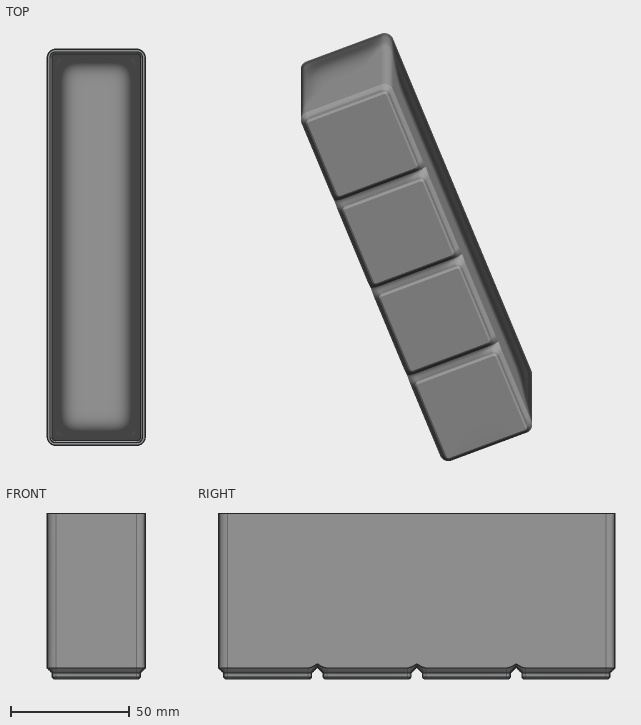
import cadquery as cq

PITCH = 42.0
UNITS_Y = 4
CLEARANCE = 0.25
HEIGHT = 70.0
CELL_RADIUS = 4.0

LENGTH_X = PITCH - 2 * CLEARANCE
LENGTH_Y = UNITS_Y * PITCH - 2 * CLEARANCE
CORNER_RADIUS = CELL_RADIUS - CLEARANCE

WALL = 2.0
CAVITY_RADIUS = 1.6
FLOOR_Z = 7.0
RIM_CHAMFER = 0.8

FOOT_STEP = 0.8
FOOT_BAND = 1.8
FOOT_FLARE = 2.4


def rounded_prism(size_x, size_y, radius, bottom, top):
    """Upright rounded block centred on the Z axis, between two heights."""
    block = cq.Workplane("XY").workplane(offset=bottom).rect(size_x, size_y)
    return block.extrude(top - bottom).edges("|Z").fillet(radius)


def flared_block(inset, bottom, rise):
    """Cell-shaped block that starts inset from the cell and widens at 45 degrees."""
    side = PITCH - 2 * inset
    outline = cq.Sketch().rect(side, side).vertices().fillet(CELL_RADIUS - inset)
    base = cq.Workplane("XY").workplane(offset=bottom).placeSketch(outline)
    return base.extrude(rise, taper=-45)


def make_foot():
    """One cell foot, its flare carried on far enough to shape the corner notches."""
    band_inset = FOOT_FLARE
    band_top = FOOT_STEP + FOOT_BAND
    band_side = PITCH - 2 * band_inset
    step = flared_block(band_inset + FOOT_STEP, 0, FOOT_STEP)
    band = rounded_prism(band_side, band_side, CELL_RADIUS - band_inset, FOOT_STEP, band_top)
    flare = flared_block(band_inset, band_top, FLOOR_Z - band_top)
    return step.union(band).union(flare)


def make_lower_body():
    """Row of feet joined at the flares and trimmed to the bin outline."""
    foot = make_foot()
    first_y = -(UNITS_Y - 1) * PITCH / 2
    row = foot.translate((0, first_y, 0))
    for index in range(1, UNITS_Y):
        row = row.union(foot.translate((0, first_y + index * PITCH, 0)))
    return row.intersect(rounded_prism(LENGTH_X, LENGTH_Y, CORNER_RADIUS, 0, FLOOR_Z))


def make_walls():
    """Open frame standing on the floor, chamfered around the inner rim."""
    walls = rounded_prism(LENGTH_X, LENGTH_Y, CORNER_RADIUS, FLOOR_Z, HEIGHT)
    cavity = rounded_prism(
        LENGTH_X - 2 * WALL,
        LENGTH_Y - 2 * WALL,
        CAVITY_RADIUS,
        FLOOR_Z,
        HEIGHT,
    )
    walls = walls.cut(cavity)
    return walls.faces(">Z").wires(cq.selectors.LengthNthSelector(0)).chamfer(RIM_CHAMFER)


result = make_lower_body().union(make_walls())